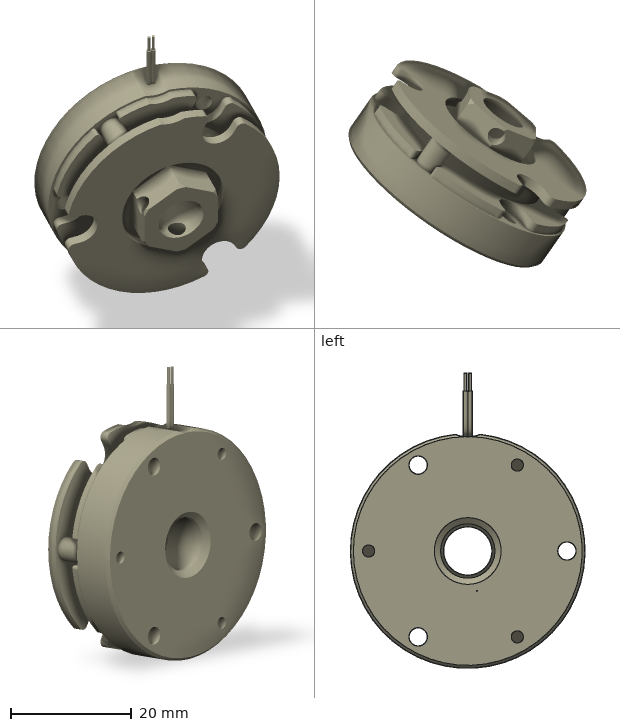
import cadquery as cq
import math


housing_length = 7.0
plate_thickness = 1.65
disc_thickness = 3.6
overall_length = 17.75
overall_height = 48.95
armature_start = housing_length
disc_start = armature_start + plate_thickness
end_plate_start = disc_start + disc_thickness

housing_diameter = 38.9
housing_bore = 9.0
rim_chamfer_radial = 0.5
rim_chamfer_axial = 0.6
bore_chamfer = 1.05

bolt_circle_radius = 16.45
spacer_angles = (0, 120, 240)
mounting_angles = (60, 180, 300)
screw_hole_diameter = 2.0
mounting_hole_diameter = 3.0

plate_diameter = 38.0
end_plate_bore = 18.0
mounting_slot_width = 6.0
mounting_slot_rounding = 1.0
spacer_slot_width = 4.25
spacer_slot_rounding = 0.5

relief_width = 4.1
relief_radius = 5.4

spacer_diameter = 4.0
disc_diameter = 26.0

hub_across_flats = 13.0
hub_across_corners = hub_across_flats / math.cos(math.radians(30))
hub_bore = 8.0
hub_chamfer_radial = 0.45
hub_chamfer_axial = 1.0
set_screw_diameter = 3.0
set_screw_x = 15.75
set_screw_angles = (150, 270)

cable_x = 4.0
lead_offset = 0.38
sheath_diameter = 0.8
core_diameter = 0.5
cable_top = overall_height - housing_diameter / 2
core_length = 3.0


def cylinder(diameter, start, length, y=0, z=0):
    """Cylinder parallel to X."""
    return cq.Workplane("YZ", origin=(start, y, z)).circle(diameter / 2).extrude(length)


def on_bolt_circle(body, angle):
    """Turn a body made on +Y to its angle about the X axis."""
    return body.rotate((0, 0, 0), (1, 0, 0), angle)


def hexagon(start, length):
    """Hub hexagon, with corners on +Z and -Z."""
    return (
        cq.Workplane("YZ", origin=(start, 0, 0))
        .polygon(6, hub_across_corners)
        .extrude(length)
        .rotate((0, 0, 0), (1, 0, 0), 30)
    )


def relief(diameter, start, length):
    """Cutter whose concave floor meets the rim at the relief width."""
    half_width = relief_width / 2
    edge_z = math.sqrt((diameter / 2) ** 2 - half_width ** 2)
    centre_z = edge_z + math.sqrt(relief_radius ** 2 - half_width ** 2)
    return cylinder(2 * relief_radius, start, length, z=centre_z)


def rim_slot(width, rounding, start):
    """Round-ended slot cutter on +Y, flared by convex roundings where it meets the plate rim."""
    rim = plate_diameter / 2
    half_width = width / 2
    rounding_z = half_width + rounding
    rounding_y = math.sqrt((rim - rounding) ** 2 - rounding_z ** 2)
    rim_y = rounding_y * rim / (rim - rounding)
    rim_z = rounding_z * rim / (rim - rounding)
    middle_angle = (math.atan2(rounding_z, rounding_y) - math.pi / 2) / 2
    middle_y = rounding_y + rounding * math.cos(middle_angle)
    middle_z = rounding_z + rounding * math.sin(middle_angle)
    return (
        cq.Workplane("YZ", origin=(start, 0, 0))
        .moveTo(bolt_circle_radius, half_width)
        .lineTo(rounding_y, half_width)
        .threePointArc((middle_y, middle_z), (rim_y, rim_z))
        .lineTo(rim + rounding, rim_z)
        .lineTo(rim + rounding, -rim_z)
        .lineTo(rim_y, -rim_z)
        .threePointArc((middle_y, -middle_z), (rounding_y, -half_width))
        .lineTo(bolt_circle_radius, -half_width)
        .threePointArc((bolt_circle_radius - half_width, 0), (bolt_circle_radius, half_width))
        .close()
        .extrude(plate_thickness)
    )


def make_housing():
    radius = housing_diameter / 2
    bore = housing_bore / 2
    profile = [
        (0, bore + bore_chamfer),
        (0, radius - rim_chamfer_radial),
        (rim_chamfer_axial, radius),
        (housing_length, radius),
        (housing_length, bore),
        (bore_chamfer, bore),
    ]
    body = cq.Workplane("XY").polyline(profile).close().revolve(360, (0, 0, 0), (1, 0, 0))
    mounting_hole = cylinder(mounting_hole_diameter, 0, housing_length, y=bolt_circle_radius)
    screw_hole = cylinder(screw_hole_diameter, 0, housing_length, y=bolt_circle_radius)
    for angle in mounting_angles:
        body = body.cut(on_bolt_circle(mounting_hole, angle))
    for angle in spacer_angles:
        body = body.cut(on_bolt_circle(screw_hole, angle))
    return body.cut(relief(housing_diameter, 0, housing_length))


def make_plate(start, bore):
    """Round plate with the top relief and an open slot at each mounting hole."""
    plate = cylinder(plate_diameter, start, plate_thickness)
    plate = plate.cut(cylinder(bore, start, plate_thickness))
    slot = rim_slot(mounting_slot_width, mounting_slot_rounding, start)
    for angle in mounting_angles:
        plate = plate.cut(on_bolt_circle(slot, angle))
    return plate.cut(relief(plate_diameter, start, plate_thickness))


def make_armature():
    """Plate with further slots that clear the spacers."""
    armature = make_plate(armature_start, housing_bore)
    slot = rim_slot(spacer_slot_width, spacer_slot_rounding, armature_start)
    for angle in spacer_angles:
        armature = armature.cut(on_bolt_circle(slot, angle))
    return armature


def make_spacer(angle):
    """Solid pillar between the housing and the end plate."""
    length = end_plate_start - housing_length
    return on_bolt_circle(cylinder(spacer_diameter, housing_length, length, y=bolt_circle_radius), angle)


def make_disc():
    """Friction disc, driven by the hexagon of the hub."""
    return cylinder(disc_diameter, disc_start, disc_thickness).cut(hexagon(disc_start, disc_thickness))


def make_hub():
    length = overall_length - disc_start
    corner_radius = hub_across_corners / 2
    envelope = [
        (disc_start, 0),
        (disc_start, corner_radius),
        (overall_length - hub_chamfer_axial, corner_radius),
        (overall_length, corner_radius - hub_chamfer_radial),
        (overall_length, 0),
    ]
    turned = cq.Workplane("XY").polyline(envelope).close().revolve(360, (0, 0, 0), (1, 0, 0))
    hub = hexagon(disc_start, length).intersect(turned)
    hub = hub.cut(cylinder(hub_bore, disc_start, length))
    set_screw = (
        cq.Workplane("XZ", origin=(set_screw_x, 0, 0))
        .circle(set_screw_diameter / 2)
        .extrude(-hub_across_corners)
    )
    for angle in set_screw_angles:
        hub = hub.cut(on_bolt_circle(set_screw, angle))
    return hub


def make_cable(housing):
    """Two joined leads that stand on the relief of the housing."""
    root_z = housing_diameter / 2 - relief_width / 2
    centres = [(0, -lead_offset), (0, lead_offset)]
    base = cq.Workplane("XY", origin=(cable_x, 0, root_z)).pushPoints(centres)
    sheaths = base.circle(sheath_diameter / 2).extrude(cable_top - core_length - root_z)
    cores = base.circle(core_diameter / 2).extrude(cable_top - root_z)
    return sheaths.union(cores).cut(housing)


housing = make_housing()
armature = make_armature()
end_plate = make_plate(end_plate_start, end_plate_bore)
spacers = [make_spacer(angle) for angle in spacer_angles]
disc = make_disc()
hub = make_hub()
cable = make_cable(housing)

result = cq.Compound.makeCompound([
    housing.val(),
    armature.val(),
    end_plate.val(),
    *[spacer.val() for spacer in spacers],
    disc.val(),
    hub.val(),
    cable.val(),
])